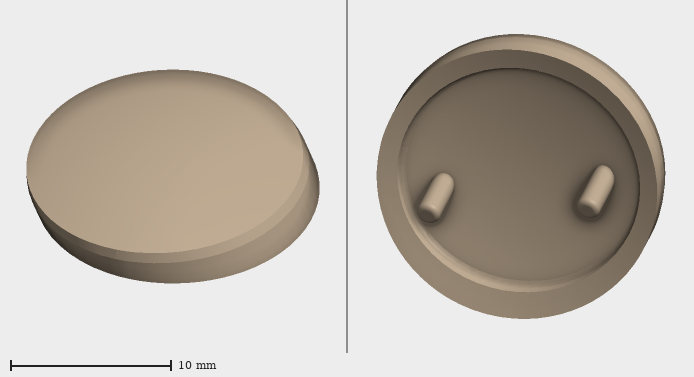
import cadquery as cq
import math

lean_angle = 24.1
oval_turn = 27.9

oval_minor_radius = 7.6
oval_major_radius = 9.25
column_half_height = 11.26

dome_tilt = 27.6
dome_turn = 33.0
arc_radius = 38.48
spin_radius = 31.72
arc_half_length = arc_radius / 2

plate_thickness = 1.7
pocket_depth = 0.62
underside_level = 0.4
top_level = underside_level + plate_thickness
floor_level = underside_level + pocket_depth

band_height = 0.55
band_inset = 0.178

rim_width = 1.24
pocket_fillet = 0.41

pin_radius = 0.77
pin_end_fillet = 0.38
pin_root_overlap = 0.19
pin_places = [((2.6, -4.47), -2.27), ((-1.2, 5.5), -3.2)]


def below_dome(level):
    """Barrel whose crown is the domed surface at the given level, tilted to the wall axis."""
    crown_radius = spin_radius + level
    level_arc_radius = arc_radius + level
    arc_drop = level_arc_radius - math.sqrt(level_arc_radius**2 - arc_half_length**2)
    end_radius = crown_radius - arc_drop
    return (
        cq.Workplane("XY")
        .moveTo(0, -arc_half_length)
        .lineTo(end_radius, -arc_half_length)
        .threePointArc((crown_radius, 0), (end_radius, arc_half_length))
        .lineTo(0, arc_half_length)
        .close()
        .revolve(360, (0, 0, 0), (0, 1, 0))
        .translate((0, 0, -spin_radius))
        .rotate((0, 0, 0), (0, 1, 0), dome_tilt)
        .rotate((0, 0, 0), (0, 0, 1), dome_turn)
    )


def domed_column(inset, level):
    """Oval column along the wall axis, shrunk by the inset and capped by a domed surface."""
    column = (
        cq.Workplane("XY")
        .ellipse(oval_minor_radius - inset, oval_major_radius - inset)
        .extrude(column_half_height, both=True)
        .rotate((0, 0, 0), (0, 0, 1), oval_turn)
    )
    return column.intersect(below_dome(level))


def make_plate():
    """Domed oval plate with a hollow underside and a sloped band around its top edge."""
    blank = domed_column(0, top_level)
    dome_edges = blank.faces("%REVOLUTION").edges().vals()
    banded = blank.val().chamfer(band_height, band_inset, dome_edges)
    return cq.Workplane(banded).cut(below_dome(underside_level))


def make_pocket():
    """Body of the pocket, rounded where its wall meets its floor."""
    return domed_column(rim_width, floor_level).faces("%REVOLUTION").edges().fillet(pocket_fillet)


def make_pin(place, end_level):
    """Round pin, rounded at its free end and running up into the plate."""
    return (
        cq.Workplane("XY", origin=(*place, end_level))
        .circle(pin_radius)
        .extrude(column_half_height)
        .faces("<Z")
        .edges()
        .fillet(pin_end_fillet)
        .intersect(below_dome(floor_level + pin_root_overlap))
    )


button = make_plate().cut(make_pocket())
for place, end_level in pin_places:
    button = button.union(make_pin(place, end_level))

result = button.solids().rotate((0, 0, 0), (1, 0, 0), lean_angle)